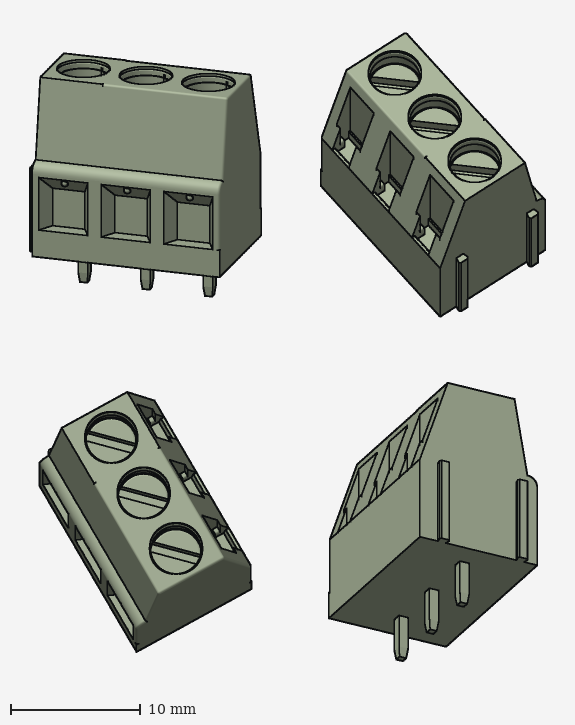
import cadquery as cq


pole_count = 3
pole_pitch = 5.08

rib_reach = 0.58
housing_left = rib_reach
housing_length = pole_count * pole_pitch
housing_right = housing_left + housing_length
housing_depth = 10.2
pin_length = 3.5
housing_bottom = pin_length
housing_top = 17.5
shoulder_z = 10.27
shoulder_radius = 0.85
roof_front_y = 1.98
roof_back_y = 7.79
edge_radius = 0.2
rounded_roof_left = housing_left + pole_pitch

entry_width = 4.0
entry_bottom_z = 5.72
entry_top_z = 10.03
entry_inner_width = 2.62
entry_inner_top_z = 8.78
entry_depth = 1.31
bump_radius = 0.28
bump_z = 9.68

screw_y = 4.94
rim_diameter = 4.1
rim_depth = 0.21
lip_radius = 1.95
lip_rounding = rim_diameter / 2 - lip_radius
lip_bottom_depth = 0.7
head_depth = 1.54
head_radius = 1.96
head_edge_radius = 0.23
slot_width = 0.8
slot_depth = 0.82
slot_angle = 45.0
post_radius = 0.15
post_center_radius = 2.06
post_angle = 61.0
post_top_depth = 0.44

pocket_width = 3.01
pocket_front_y = 8.1
front_shelf_width = 0.15
pocket_back_y = 9.43
pocket_floor_z = 9.62
mouth_width = 2.06
sill_front_y = 9.73
sill_ramp = 0.2
shelf_front_y = 9.0
shelf_z = 10.5
shelf_edge_radius = 0.15

rib_centers_y = (1.49, 8.3)
rib_outer_width = 0.85
rib_tip_width = 0.65
rib_neck_width = 0.68
rib_tip_length = 0.14

pin_width = 0.8
pin_y = 5.22
pin_tip_width = 0.58
pin_tip_length = 0.82

pole_centers_x = [housing_left + (i + 0.5) * pole_pitch for i in range(pole_count)]


def box(x_min, x_max, y_min, y_max, z_min, z_max):
    size = (x_max - x_min, y_max - y_min, z_max - z_min)
    return cq.Workplane("XY").box(*size, centered=False).translate((x_min, y_min, z_min))


def upper_housing(x_min, x_max):
    """Stretch of the housing above the entry floor, with the shoulder and the sloping walls."""
    return (
        cq.Workplane("YZ", origin=(x_min, 0, 0))
        .moveTo(0, entry_bottom_z)
        .lineTo(0, shoulder_z)
        .radiusArc((shoulder_radius, shoulder_z + shoulder_radius), shoulder_radius)
        .lineTo(roof_front_y, housing_top)
        .lineTo(roof_back_y, housing_top)
        .lineTo(housing_depth, shoulder_z)
        .lineTo(housing_depth, entry_bottom_z)
        .close()
        .extrude(x_max - x_min)
    )


def make_housing():
    """Housing whose right end and roof edges are rounded, except along the first pole and the base."""
    base = box(housing_left, housing_right, 0, housing_depth, housing_bottom, entry_bottom_z)
    plain_end = upper_housing(housing_left, rounded_roof_left)
    rounded_end = upper_housing(rounded_roof_left, housing_right)
    right_edges = rounded_end.faces(">X").edges().filter(
        lambda edge: edge.BoundingBox().zmax > entry_bottom_z + edge_radius
    )
    roof_edges = rounded_end.faces(">Z").edges("|X")
    rounded_end = rounded_end.newObject(right_edges.vals() + roof_edges.vals()).fillet(edge_radius)
    return base.union(plain_end).union(rounded_end)


def wire_entry(x):
    """Funnel that narrows inward at its sides and ceiling and keeps a level floor."""
    height = entry_top_z - entry_bottom_z
    inner_height = entry_inner_top_z - entry_bottom_z
    return (
        cq.Workplane("XZ", origin=(x, 0, entry_bottom_z))
        .center(0, height / 2)
        .rect(entry_width, height)
        .workplane(offset=-entry_depth)
        .center(0, (inner_height - height) / 2)
        .rect(entry_inner_width, inner_height)
        .loft(ruled=True)
    )


def ceiling_bump(x):
    """Ball set halfway into the sloping ceiling of a wire entry."""
    run_per_drop = entry_depth / (entry_top_z - entry_inner_top_z)
    bump_y = (entry_top_z - bump_z) * run_per_drop
    return cq.Workplane("XY").sphere(bump_radius).translate((x, bump_y, bump_z))


def screw_hole(x):
    """Bore with a rounded lip under the rim, around a screw head with a rounded edge."""
    rim_radius = rim_diameter / 2
    face_radius = head_radius - head_edge_radius
    bore = (
        cq.Workplane("XZ")
        .moveTo(0, 0)
        .lineTo(rim_radius, 0)
        .lineTo(rim_radius, -rim_depth)
        .radiusArc((lip_radius, -rim_depth - lip_rounding), -lip_rounding)
        .lineTo(lip_radius, -lip_bottom_depth)
        .lineTo(rim_radius, -lip_bottom_depth)
        .lineTo(rim_radius, -head_depth - head_edge_radius)
        .lineTo(head_radius, -head_depth - head_edge_radius)
        .radiusArc((face_radius, -head_depth), -head_edge_radius)
        .lineTo(0, -head_depth)
        .close()
        .revolve(360, (0, 0, 0), (0, 1, 0))
    )
    slot_bottom = cq.Workplane("XY", origin=(0, 0, -head_depth - slot_depth))
    slot_bar = slot_bottom.rect(rim_diameter, slot_width).extrude(slot_depth)
    slot_bar = slot_bar.rotate((0, 0, 0), (0, 0, 1), slot_angle)
    slot = slot_bar.intersect(slot_bottom.circle(rim_radius).extrude(slot_depth))
    post = (
        cq.Workplane("XY", origin=(0, 0, -head_depth - head_edge_radius))
        .center(post_center_radius, 0)
        .circle(post_radius)
        .extrude(head_depth + head_edge_radius - post_top_depth)
        .rotate((0, 0, 0), (0, 0, 1), post_angle)
    )
    return bore.union(slot).cut(post).translate((x, screw_y, housing_top))


def back_pocket(x):
    """T-shaped pocket in the sloping back wall, with shelves inside, open to the back over a ramped sill."""
    chamber = (
        cq.Workplane("YZ", origin=(x - pocket_width / 2, 0, 0))
        .moveTo(pocket_front_y, housing_top)
        .lineTo(pocket_front_y, shelf_z)
        .lineTo(pocket_front_y + front_shelf_width, shelf_z)
        .lineTo(pocket_front_y + front_shelf_width, pocket_floor_z)
        .lineTo(pocket_back_y, pocket_floor_z)
        .lineTo(pocket_back_y, housing_top)
        .close()
        .extrude(pocket_width)
    )
    mouth = (
        cq.Workplane("YZ", origin=(x - mouth_width / 2, 0, 0))
        .moveTo(pocket_back_y, housing_top)
        .lineTo(pocket_back_y, pocket_floor_z)
        .lineTo(sill_front_y, pocket_floor_z)
        .lineTo(sill_front_y + sill_ramp, shoulder_z)
        .lineTo(housing_depth, shoulder_z)
        .lineTo(housing_depth, housing_top)
        .close()
        .extrude(mouth_width)
    )
    pocket = chamber.union(mouth)
    left_shelf = box(
        -pocket_width / 2, -mouth_width / 2, shelf_front_y, pocket_back_y, pocket_floor_z, shelf_z
    )
    left_shelf = left_shelf.edges(">X and >Z").fillet(shelf_edge_radius)
    for shelf in (left_shelf, left_shelf.mirror("YZ")):
        pocket = pocket.cut(shelf.translate((x, 0, 0)))
    return pocket


def side_rib(y):
    """Dovetail rib that widens away from the housing and ends in a chamfered tip."""
    half_outer = rib_outer_width / 2
    half_tip = rib_tip_width / 2
    half_neck = rib_neck_width / 2
    return (
        cq.Workplane("XY", origin=(0, y, housing_bottom))
        .polyline([
            (0, -half_tip),
            (rib_tip_length, -half_outer),
            (rib_reach, -half_neck),
            (rib_reach, half_neck),
            (rib_tip_length, half_outer),
            (0, half_tip),
        ])
        .close()
        .extrude(shoulder_z - housing_bottom)
    )


def pin(x):
    """Square solder pin with a tapered tip."""
    shank = cq.Workplane("XY", origin=(x, pin_y, pin_tip_length)).rect(pin_width, pin_width)
    tip = (
        cq.Workplane("XY", origin=(x, pin_y, 0))
        .rect(pin_tip_width, pin_tip_width)
        .workplane(offset=pin_tip_length)
        .rect(pin_width, pin_width)
        .loft(ruled=True)
    )
    return shank.extrude(pin_length - pin_tip_length).union(tip)


result = make_housing()
for center_x in pole_centers_x:
    result = result.cut(wire_entry(center_x))
    result = result.cut(screw_hole(center_x))
    result = result.cut(back_pocket(center_x))
    result = result.union(ceiling_bump(center_x))
    result = result.union(pin(center_x))
for rib_y in rib_centers_y:
    result = result.union(side_rib(rib_y))